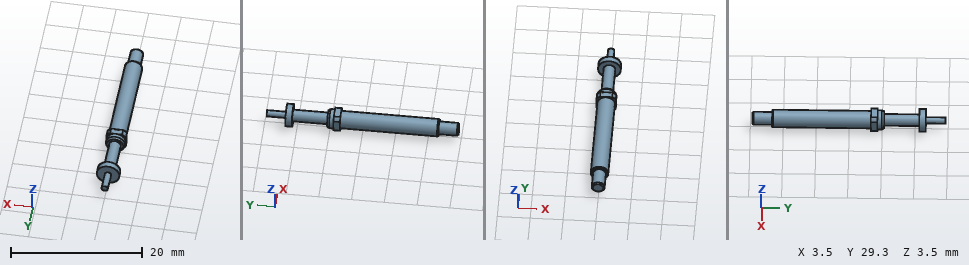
import cadquery as cq

nose_diameter = 2.0
barrel_diameter = 2.7
collar_diameter = 2.95
shaft_diameter = 1.82
flange_diameter = 3.5
pin_diameter = 1.0

total_length = 29.3
nose_length = 3.0
barrel_length = 15.0
collar_length = 2.0
flange_thickness = 1.0
pin_length = 3.0

nose_chamfer = 0.2
barrel_chamfer_length = 0.2
barrel_chamfer_depth = 0.12
collar_chamfer_length = 0.35
collar_chamfer_depth = 0.2

wrench_length = 1.0
across_flats = collar_diameter
corner_diameter = flange_diameter

nose_end = nose_length
barrel_end = nose_end + barrel_length
collar_end = barrel_end + collar_length
pin_start = total_length - pin_length
flange_start = pin_start - flange_thickness


def cylinder(diameter, start, end):
    """Solid cylinder on the Y axis between two stations."""
    section = cq.Workplane("XZ", origin=(0, start, 0)).circle(diameter / 2)
    return section.extrude(start - end)


def make_nose():
    nose = cylinder(nose_diameter, 0, nose_end)
    return nose.faces("<Y").chamfer(nose_chamfer)


def make_barrel():
    """Main barrel, tapered slightly at its nose end."""
    radius = barrel_diameter / 2
    profile = (
        cq.Workplane("YZ")
        .moveTo(nose_end, 0)
        .lineTo(nose_end, radius - barrel_chamfer_depth)
        .lineTo(nose_end + barrel_chamfer_length, radius)
        .lineTo(barrel_end, radius)
        .lineTo(barrel_end, 0)
        .close()
    )
    return profile.revolve(360, (0, 0, 0), (1, 0, 0))


def make_collar():
    """Round collar, tapered at its shaft end."""
    radius = collar_diameter / 2
    profile = (
        cq.Workplane("YZ")
        .moveTo(barrel_end, 0)
        .lineTo(barrel_end, radius)
        .lineTo(collar_end - collar_chamfer_length, radius)
        .lineTo(collar_end, radius - collar_chamfer_depth)
        .lineTo(collar_end, 0)
        .close()
    )
    return profile.revolve(360, (0, 0, 0), (1, 0, 0))


def make_wrench_section():
    """Disc cut to a square, leaving its corners rounded."""
    disc = cylinder(corner_diameter, barrel_end, barrel_end + wrench_length)
    middle = barrel_end + wrench_length / 2
    square = cq.Workplane().box(across_flats, wrench_length, across_flats).translate((0, middle, 0))
    return disc.intersect(square)


result = (
    make_nose()
    .union(make_barrel())
    .union(make_collar())
    .union(make_wrench_section())
    .union(cylinder(shaft_diameter, collar_end, flange_start))
    .union(cylinder(flange_diameter, flange_start, pin_start))
    .union(cylinder(pin_diameter, pin_start, total_length))
)